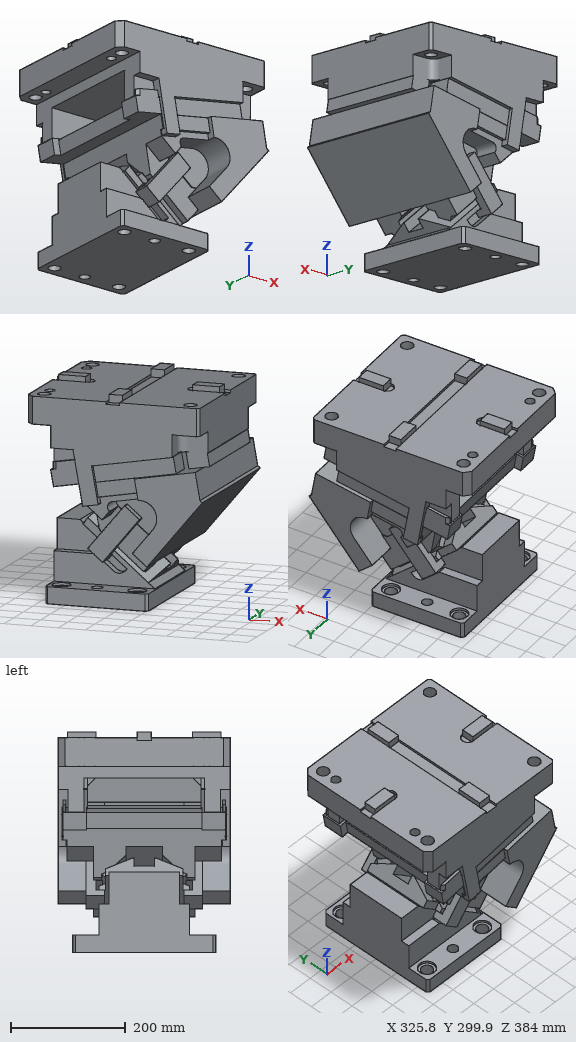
import cadquery as cq
import math

RAIL_ANGLE = 10.0
SLOPE_ANGLE = 40.0

TOTAL_HEIGHT = 384.0
FULL_HALF_WIDTH = 149.95
OUTSIDE = 230.5

PLATE_LENGTH = 320.0
PLATE_TOP = 374.0
PLATE_BOTTOM = 324.0
LEFT_CORNER_CHAMFER = 12.0
RIGHT_CORNER_CHAMFER = 5.0
KEY_WIDTH = 25.0
KEY_LENGTH = 50.0
KEY_SLOT_DEPTH = 4.5
KEY_END_GAP_X = 11.0
KEY_END_GAP_Y = 16.0
BOLT_DIAMETER = 23.0
BOLT_INSET = 25.0
DOWEL_DIAMETER = 17.5
DOWEL_Y = 95.0

COLUMN_LEFT = 45.5
COLUMN_RIGHT = 269.5
WINDOW_HALF_WIDTH = 105.2
WINDOW_TOP = 303.5
CHEEK_RECESS_TOP = 284.0
CHEEK_HALF_WIDTH = 133.0
REAR_BLOCK_BOTTOM = 285.7
REAR_FILLET = 14.5
STOP_HALF_WIDTH = 98.5
REAR_POCKET_DEPTH = 10.8
STOP_CORNER = 13.5
STOP_UNDERCUT_TOP_V = 208.0
STOP_UNDERCUT_DEPTH = 4.0
STOP_FOOT_HALF_WIDTH = 69.5
STOP_FOOT_SETBACK = 1.5
STOP_LEFT_U = 325.0
STOP_RIGHT_U = 363.5
STOP_STEP_Z = 289.5

HEAD_LEFT_U = 84.0
HEAD_RIGHT_U = 314.0
HEAD_TOP_V = 232.7
HEAD_BOTTOM_V = 202.0
HEAD_HALF_WIDTH = 141.7
BAND_HALF_WIDTH = 141.0
LEG_POCKET_HALF_WIDTH = 143.2
BAND_BOTTOM_V = 175.0
BAND_RIGHT_U = 239.0
LEG_LEFT_U = 134.8
LEG_RIGHT_U = 164.0
LEG_BOTTOM_V = 163.5
LEG_INNER_Y = 136.0
NECK_HALF_WIDTH = 134.0
LIP_TOP_V = 245.5
LIP_CHAMFER_X = 7.0
LIP_CHAMFER_Y = 4.5
HEAD_MIDDLE_LEFT_U = 98.0
HEAD_MIDDLE_TOP_V = 230.5
HEAD_MIDDLE_HALF_WIDTH = 100.5
SLIDER_RIGHT_U = 353.0

ARM_BOTTOM_N = 208.5
ARM_RIGHT_S = 116.5
ARM_TIP_N = 368.0
ARCH_LEFT_S = 0.8
ARCH_RIGHT_S = 81.5
ARCH_RADIUS = 30.7
ARCH_UNDERCUT_RADIUS = 10.0
ARCH_BACK_HALF_WIDTH = 87.0
SHELF_N = 229.5
SHELF_RIGHT_S = 73.5
SHOE_HALF_WIDTH = 88.7
SHOE_RIGHT_S = 110.0
SHOE_BOTTOM_N = 173.0
SHOE_INNER_Y = 74.0
SHOE_FLANK_TOP_N = 198.5
STRIP_LEFT_S = -5.8
STRIP_OUTER_Y = 67.2
STRIP_INNER_Y = 45.5
CHANNEL_HALF_WIDTH = 32.0
HOOK_LEFT_S = 10.5
HOOK_RIGHT_S = 46.0
HOOK_BOTTOM_N = 138.0
HOOK_TOP_N = 244.0
HOOK_INNER_Y = 69.5
HOOK_OUTER_Y = 101.5
HOOK_POCKET_Y = 84.0
HOOK_POCKET_TOP_N = 172.0

FOOT_LEFT = 26.0
FOOT_LENGTH = 189.7
FOOT_HALF_WIDTH = 124.8
FOOT_THICKNESS = 30.7
FOOT_CHAMFER = 5.0
BODY_HALF_WIDTH = 78.7
BODY_STEP_Z = 85.0
BODY_TOP_Z = 140.0
DRIVER_NECK_HALF_WIDTH = 61.5
ROOF_LEFT_S = -28.8
ROOF_RIGHT_S = 127.5
ROOF_UNDERSIDE_N = 151.3
ROOF_EAVE_N = 160.0
ROOF_RIDGE_N = 191.2
ROOF_RIDGE_HALF_WIDTH = 19.2
ROOF_END_HALF_WIDTH = 67.2
ROOF_SLOT_WIDTH = 35.5
ROOF_SLOT_DEPTH = 19.2
GROOVE_BOTTOM_N = 131.5
GROOVE_END_S = 83.0
GROOVE_RADIUS = 15.5
FOOT_HOLE_Y = 101.5
FOOT_SCREW_X = (22.3, 162.0)
FOOT_DOWEL_X = 88.0
FOOT_SCREW_DIAMETER = 23.0
COUNTERBORE_DIAMETER = 33.0
COUNTERBORE_DEPTH = 4.5
FOOT_DOWEL_DIAMETER = 20.0


def side_plane(angle):
    """XZ plane turned by an angle about the Y axis, with its normal along -Y."""
    turn = math.radians(angle)
    return cq.Plane(origin=(0, 0, 0), xDir=(math.cos(turn), 0, math.sin(turn)), normal=(0, -1, 0))


LEVEL = side_plane(0)
RAIL = side_plane(RAIL_ANGLE)
SLOPE = side_plane(-SLOPE_ANGLE)


def prism(plane, points, half_width):
    """Polygon in a side plane, extruded evenly to both sides of the symmetry plane."""
    return cq.Workplane(plane).polyline(points).close().extrude(half_width, both=True)


def bar(plane, left, right, bottom, top, half_width):
    """Rectangular bar aligned with a side plane."""
    points = [(left, bottom), (right, bottom), (right, top), (left, top)]
    return prism(plane, points, half_width)


def outer_part(solid, half_width):
    """What is left of a solid outside a central slab of the given half width."""
    slab = cq.Workplane("XY").box(4 * OUTSIDE, 2 * half_width, 4 * OUTSIDE)
    return solid.cut(slab.translate((0, 0, OUTSIDE)))


def along_slope(points, start_s, end_s):
    """Polygon of (y, n) points extruded down the slope, together with its mirror image."""
    down = SLOPE.xDir
    section = cq.Plane(origin=(down * start_s).toTuple(), xDir=(0, 1, 0), normal=down.toTuple())
    solid = cq.Workplane(section).polyline(points).close().extrude(end_s - start_s)
    return solid.union(solid.mirror("XZ"))


def level_between(y, outer, inner):
    """Level n at a given y on the straight flank between two (y, n) points."""
    return outer[1] + (inner[1] - outer[1]) * (outer[0] - y) / (outer[0] - inner[0])


def roof_level(y):
    return level_between(y, (BODY_HALF_WIDTH, ROOF_EAVE_N), (ROOF_RIDGE_HALF_WIDTH, ROOF_RIDGE_N))


def runner_level(y):
    return level_between(y, (SHOE_INNER_Y, SHOE_BOTTOM_N), (CHANNEL_HALF_WIDTH, SHOE_FLANK_TOP_N))


def foot():
    plate = (
        cq.Workplane("XY")
        .box(FOOT_LENGTH, 2 * FOOT_HALF_WIDTH, FOOT_THICKNESS, centered=(False, True, False))
        .edges("|Z").chamfer(FOOT_CHAMFER)
    )
    sides = (-FOOT_HOLE_Y, FOOT_HOLE_Y)
    screws = [(x, y) for x in FOOT_SCREW_X for y in sides]
    dowels = [(FOOT_DOWEL_X, y) for y in sides]
    top = cq.Workplane("XY").workplane(offset=FOOT_THICKNESS)
    shanks = top.pushPoints(screws).circle(FOOT_SCREW_DIAMETER / 2).extrude(-FOOT_THICKNESS)
    heads = top.pushPoints(screws).circle(COUNTERBORE_DIAMETER / 2).extrude(-COUNTERBORE_DEPTH)
    pins = top.pushPoints(dowels).circle(FOOT_DOWEL_DIAMETER / 2).extrude(-FOOT_THICKNESS)
    return plate.cut(shanks).cut(heads).cut(pins).translate((FOOT_LEFT, 0, 0))


def below_slope(n):
    """Large block that fills everything under a given level of the slope."""
    return bar(SLOPE, -2 * OUTSIDE, 2 * OUTSIDE, -2 * OUTSIDE, n, OUTSIDE)


def driver_body():
    right = FOOT_LEFT + FOOT_LENGTH
    lower = bar(LEVEL, FOOT_LEFT, right, 0, BODY_STEP_Z, BODY_HALF_WIDTH)
    lower = lower.intersect(below_slope(ROOF_EAVE_N))
    groove = bar(SLOPE, -OUTSIDE, GROOVE_END_S, GROOVE_BOTTOM_N, ROOF_UNDERSIDE_N, OUTSIDE)
    corner = cq.NearestToPointSelector(
        SLOPE.toWorldCoords((GROOVE_END_S, GROOVE_BOTTOM_N, 0)).toTuple()
    )
    groove = groove.edges("|Y").edges(corner).fillet(GROOVE_RADIUS)
    lower = lower.cut(outer_part(groove, DRIVER_NECK_HALF_WIDTH))
    neck = bar(LEVEL, FOOT_LEFT, right, 0, BODY_TOP_Z, DRIVER_NECK_HALF_WIDTH)
    return lower.union(neck.intersect(below_slope(ROOF_UNDERSIDE_N)))


def roof():
    """Roof-shaped cam that lies on the slope."""
    half_outline = [
        (0, ROOF_UNDERSIDE_N),
        (BODY_HALF_WIDTH, ROOF_UNDERSIDE_N),
        (BODY_HALF_WIDTH, ROOF_EAVE_N),
        (ROOF_RIDGE_HALF_WIDTH, ROOF_RIDGE_N),
        (0, ROOF_RIDGE_N),
    ]
    cam = along_slope(half_outline, ROOF_LEFT_S, ROOF_RIGHT_S)
    end_trim = bar(SLOPE, -OUTSIDE, HOOK_LEFT_S, ROOF_UNDERSIDE_N, ROOF_RIDGE_N, OUTSIDE)
    slot = bar(SLOPE, -OUTSIDE, OUTSIDE, ROOF_RIDGE_N - ROOF_SLOT_DEPTH, ROOF_RIDGE_N, ROOF_SLOT_WIDTH / 2)
    return cam.cut(outer_part(end_trim, ROOF_END_HALF_WIDTH)).cut(slot)


def make_driver():
    return foot().union(driver_body()).union(roof())


def slider_head():
    """Tilted head: two rails with side lips, joined at the left by a lower crossbar."""
    head = bar(RAIL, HEAD_LEFT_U, HEAD_RIGHT_U, HEAD_BOTTOM_V, HEAD_TOP_V, HEAD_HALF_WIDTH)
    rails = outer_part(head, STOP_HALF_WIDTH)
    setback = bar(
        RAIL, HEAD_LEFT_U, LEG_LEFT_U, HEAD_BOTTOM_V, HEAD_TOP_V, HEAD_MIDDLE_HALF_WIDTH
    )
    crossbar = bar(
        RAIL, HEAD_MIDDLE_LEFT_U, LEG_LEFT_U, HEAD_BOTTOM_V, HEAD_MIDDLE_TOP_V, HEAD_MIDDLE_HALF_WIDTH
    )
    lips = bar(RAIL, HEAD_LEFT_U, LEG_LEFT_U, HEAD_BOTTOM_V, LIP_TOP_V, HEAD_HALF_WIDTH)
    upright = (
        cq.Workplane("XY")
        .moveTo(COLUMN_LEFT, HEAD_HALF_WIDTH - LIP_CHAMFER_Y)
        .lineTo(COLUMN_LEFT + LIP_CHAMFER_X, HEAD_HALF_WIDTH)
        .lineTo(OUTSIDE, HEAD_HALF_WIDTH)
        .lineTo(OUTSIDE, 0)
        .lineTo(COLUMN_LEFT, 0)
        .close()
        .extrude(2 * OUTSIDE)
    )
    upright = upright.union(upright.mirror("XZ"))
    lips = outer_part(lips.intersect(upright), LEG_INNER_Y)
    return rails.cut(setback).union(crossbar).union(lips)


def slider_block():
    band = bar(RAIL, LEG_LEFT_U, BAND_RIGHT_U, BAND_BOTTOM_V, HEAD_BOTTOM_V, BAND_HALF_WIDTH)
    neck = bar(RAIL, LEG_LEFT_U, BAND_RIGHT_U, 0, BAND_BOTTOM_V, NECK_HALF_WIDTH)
    arms = bar(RAIL, BAND_RIGHT_U, SLIDER_RIGHT_U, -OUTSIDE, HEAD_BOTTOM_V, FULL_HALF_WIDTH)
    tips = bar(SLOPE, ARCH_RIGHT_S, ARM_RIGHT_S, ARM_BOTTOM_N, ARM_TIP_N, FULL_HALF_WIDTH)
    limit = bar(SLOPE, -2 * OUTSIDE, ARM_RIGHT_S, ARM_BOTTOM_N, 2 * OUTSIDE, OUTSIDE)
    return band.union(neck).union(arms).intersect(limit).union(tips)


def arch():
    """Arch-shaped opening between the neck and the arms, as a full-width prism."""
    turn = math.radians(RAIL_ANGLE + SLOPE_ANGLE)

    def centre_of_arc(s, radius):
        """Centre at a given s whose circle just touches the arch ceiling."""
        return s, (LEG_BOTTOM_V - radius + s * math.sin(turn)) / math.cos(turn)

    def on_arc(centre, radius, degrees):
        angle = math.radians(degrees)
        return centre[0] + radius * math.cos(angle), centre[1] + radius * math.sin(angle)

    ceiling = 90 + RAIL_ANGLE + SLOPE_ANGLE
    small = centre_of_arc(ARCH_LEFT_S, ARCH_UNDERCUT_RADIUS)
    large = centre_of_arc(ARCH_RIGHT_S - ARCH_RADIUS, ARCH_RADIUS)
    return (
        cq.Workplane(SLOPE)
        .moveTo(ARCH_LEFT_S, 0)
        .lineTo(*on_arc(small, ARCH_UNDERCUT_RADIUS, 270))
        .threePointArc(
            on_arc(small, ARCH_UNDERCUT_RADIUS, (270 + ceiling) / 2),
            on_arc(small, ARCH_UNDERCUT_RADIUS, ceiling),
        )
        .lineTo(*on_arc(large, ARCH_RADIUS, ceiling))
        .threePointArc(on_arc(large, ARCH_RADIUS, ceiling / 2), on_arc(large, ARCH_RADIUS, 0))
        .lineTo(ARCH_RIGHT_S, 0)
        .close()
        .extrude(OUTSIDE, both=True)
    )


def shoe():
    """Two runners below the arms, each with a wear strip that rides on the roof of the driver."""
    runner = [
        (CHANNEL_HALF_WIDTH, ARM_BOTTOM_N),
        (CHANNEL_HALF_WIDTH, SHOE_FLANK_TOP_N),
        (SHOE_INNER_Y, SHOE_BOTTOM_N),
        (SHOE_HALF_WIDTH, SHOE_BOTTOM_N),
        (SHOE_HALF_WIDTH, ARM_BOTTOM_N),
    ]
    runners = along_slope(runner, -OUTSIDE, SHOE_RIGHT_S)
    runners = runners.intersect(bar(RAIL, LEG_LEFT_U, 2 * OUTSIDE, -OUTSIDE, OUTSIDE, OUTSIDE))
    strip = [
        (STRIP_OUTER_Y, roof_level(STRIP_OUTER_Y)),
        (SHOE_INNER_Y, SHOE_BOTTOM_N),
        (STRIP_INNER_Y, runner_level(STRIP_INNER_Y)),
        (STRIP_INNER_Y, roof_level(STRIP_INNER_Y)),
    ]
    return runners.union(along_slope(strip, STRIP_LEFT_S, SHOE_RIGHT_S))


def slider_hooks():
    hooks = bar(SLOPE, HOOK_LEFT_S, HOOK_RIGHT_S, HOOK_BOTTOM_N, HOOK_TOP_N, HOOK_OUTER_Y)
    pocket = bar(SLOPE, HOOK_LEFT_S, HOOK_RIGHT_S, ROOF_UNDERSIDE_N, HOOK_POCKET_TOP_N, HOOK_POCKET_Y)
    return outer_part(hooks, HOOK_INNER_Y).cut(pocket)


def make_slider(driver):
    opening = arch()
    shelf_rise = (ARCH_RIGHT_S - SHELF_RIGHT_S) * math.tan(math.radians(SLOPE_ANGLE))
    shelf_outline = [
        (ARCH_LEFT_S, 0),
        (ARCH_RIGHT_S, 0),
        (ARCH_RIGHT_S, SHELF_N + shelf_rise),
        (SHELF_RIGHT_S, SHELF_N),
        (ARCH_LEFT_S, SHELF_N),
    ]
    shelf = prism(SLOPE, shelf_outline, OUTSIDE)
    body = slider_head().union(slider_block())
    body = body.cut(outer_part(opening.cut(shelf), ARCH_BACK_HALF_WIDTH))
    body = body.cut(outer_part(opening.intersect(shelf), SHOE_HALF_WIDTH))
    body = body.union(shoe())
    body = body.union(slider_hooks())
    return body.cut(driver)


def top_plate():
    thickness = PLATE_TOP - PLATE_BOTTOM
    plate = cq.Workplane("XY").box(
        PLATE_LENGTH, 2 * FULL_HALF_WIDTH, thickness, centered=(False, True, False)
    )
    plate = plate.edges("|Z and <X").chamfer(LEFT_CORNER_CHAMFER)
    plate = plate.edges("|Z and >X").chamfer(RIGHT_CORNER_CHAMFER)
    return plate.translate((0, 0, PLATE_BOTTOM))


def key_slots():
    floor = PLATE_TOP - KEY_SLOT_DEPTH
    middle = PLATE_LENGTH / 2
    slots = cq.Workplane("XY").box(KEY_WIDTH, 2 * OUTSIDE, KEY_SLOT_DEPTH, centered=(True, True, False))
    slots = slots.translate((middle, 0, floor))
    inner_end = KEY_END_GAP_X + KEY_LENGTH
    for end, inner in ((0, inner_end), (PLATE_LENGTH, PLATE_LENGTH - inner_end)):
        length = 2 * abs(inner - end) + KEY_WIDTH
        slot = cq.Workplane("XY").center(end, 0).slot2D(length, KEY_WIDTH).extrude(KEY_SLOT_DEPTH)
        slots = slots.union(slot.translate((0, 0, floor)))
    return slots


def keys():
    middle = PLATE_LENGTH / 2
    key_height = TOTAL_HEIGHT - PLATE_TOP + KEY_SLOT_DEPTH
    reach_x = middle - KEY_END_GAP_X - KEY_LENGTH / 2
    reach_y = FULL_HALF_WIDTH - KEY_END_GAP_Y - KEY_LENGTH / 2
    base = cq.Workplane("XY").workplane(offset=PLATE_TOP - KEY_SLOT_DEPTH).center(middle, 0)
    along_x = base.pushPoints([(-reach_x, 0), (reach_x, 0)]).rect(KEY_LENGTH, KEY_WIDTH).extrude(key_height)
    along_y = base.pushPoints([(0, -reach_y), (0, reach_y)]).rect(KEY_WIDTH, KEY_LENGTH).extrude(key_height)
    return along_x.union(along_y)


def plate_holes():
    bolt_y = FULL_HALF_WIDTH - BOLT_INSET
    bolts = [(x, y) for x in (BOLT_INSET, PLATE_LENGTH - BOLT_INSET) for y in (-bolt_y, bolt_y)]
    dowels = [(BOLT_INSET, -DOWEL_Y), (BOLT_INSET, DOWEL_Y)]
    base = cq.Workplane("XY").workplane(offset=PLATE_BOTTOM)
    depth = PLATE_TOP - PLATE_BOTTOM
    big = base.pushPoints(bolts).circle(BOLT_DIAMETER / 2).extrude(depth)
    return big.union(base.pushPoints(dowels).circle(DOWEL_DIAMETER / 2).extrude(depth))


def column():
    """Two cheeks and a bridge that carry the slider head, with the legs that wrap its sides."""
    block = bar(LEVEL, COLUMN_LEFT, COLUMN_RIGHT, 0, PLATE_BOTTOM, FULL_HALF_WIDTH)
    block = block.intersect(bar(RAIL, -OUTSIDE, 2 * OUTSIDE, HEAD_TOP_V, 2 * OUTSIDE, OUTSIDE))
    block = block.cut(bar(LEVEL, 0, COLUMN_RIGHT, 0, WINDOW_TOP, WINDOW_HALF_WIDTH))
    recess = bar(RAIL, -OUTSIDE, LEG_LEFT_U, 0, 2 * OUTSIDE, OUTSIDE)
    recess = recess.intersect(bar(LEVEL, 0, COLUMN_RIGHT, 0, CHEEK_RECESS_TOP, OUTSIDE))
    block = block.cut(outer_part(recess, CHEEK_HALF_WIDTH))
    legs = bar(RAIL, LEG_LEFT_U, LEG_RIGHT_U, LEG_BOTTOM_V, HEAD_TOP_V, FULL_HALF_WIDTH)
    pocket = bar(RAIL, 0, LEG_RIGHT_U, BAND_BOTTOM_V, HEAD_TOP_V, LEG_POCKET_HALF_WIDTH)
    return block.union(outer_part(legs, LEG_INNER_Y).cut(pocket))


def rear_block():
    """Block behind the column that ends in the tilted stop."""
    height = PLATE_BOTTOM - REAR_BLOCK_BOTTOM
    flare = WINDOW_HALF_WIDTH + REAR_FILLET
    block = (
        cq.Workplane("XY")
        .workplane(offset=REAR_BLOCK_BOTTOM)
        .moveTo(COLUMN_RIGHT, -flare)
        .radiusArc((COLUMN_RIGHT + REAR_FILLET, -WINDOW_HALF_WIDTH), REAR_FILLET)
        .lineTo(PLATE_LENGTH, -WINDOW_HALF_WIDTH)
        .lineTo(PLATE_LENGTH, WINDOW_HALF_WIDTH)
        .lineTo(COLUMN_RIGHT + REAR_FILLET, WINDOW_HALF_WIDTH)
        .radiusArc((COLUMN_RIGHT, flare), REAR_FILLET)
        .close()
        .extrude(height)
    )
    pocket = bar(
        LEVEL, COLUMN_RIGHT, COLUMN_RIGHT + REAR_POCKET_DEPTH, 0, WINDOW_TOP, STOP_HALF_WIDTH
    )
    lower = bar(RAIL, STOP_LEFT_U, STOP_RIGHT_U, HEAD_BOTTOM_V, 2 * OUTSIDE, WINDOW_HALF_WIDTH)
    lower = lower.intersect(bar(LEVEL, 0, 2 * OUTSIDE, 0, STOP_STEP_Z, OUTSIDE))
    undercut_end = STOP_LEFT_U + STOP_UNDERCUT_DEPTH
    foot_left = STOP_LEFT_U + STOP_FOOT_SETBACK
    undercut = bar(RAIL, STOP_LEFT_U, undercut_end, HEAD_BOTTOM_V, STOP_UNDERCUT_TOP_V, STOP_HALF_WIDTH)
    stop_foot = bar(RAIL, foot_left, undercut_end, HEAD_BOTTOM_V, STOP_UNDERCUT_TOP_V, STOP_FOOT_HALF_WIDTH)
    upper = bar(LEVEL, COLUMN_RIGHT, PLATE_LENGTH, REAR_BLOCK_BOTTOM, WINDOW_TOP, STOP_HALF_WIDTH)
    upper = upper.edges("|X and >Z").chamfer(STOP_CORNER)
    upper = upper.intersect(bar(RAIL, STOP_LEFT_U, STOP_RIGHT_U, 0, 2 * OUTSIDE, OUTSIDE))
    return block.cut(pocket).union(lower.cut(undercut.cut(stop_foot))).union(upper)


def make_holder(slider):
    plate = top_plate().cut(plate_holes()).cut(key_slots()).union(keys())
    return plate.union(column()).union(rear_block()).cut(slider)


driver = make_driver()
slider = make_slider(driver)
holder = make_holder(slider)

result = cq.Compound.makeCompound([body.solids().val() for body in (driver, slider, holder)])